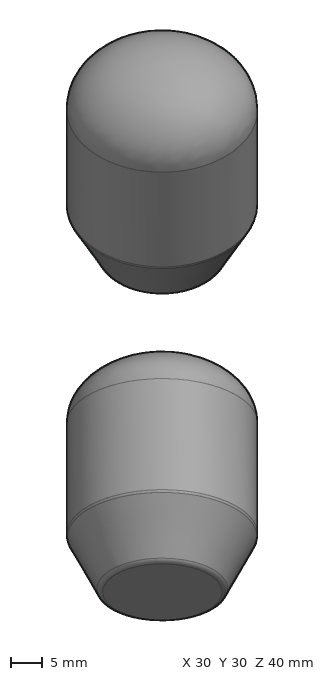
import cadquery as cq

body_diameter = 30.0
total_height = 40.0
dome_height = 10.0
taper_height = 10.0
foot_diameter = 20.0
foot_fillet = 1.0
shoulder_fillet = 1.0

body_radius = body_diameter / 2
foot_radius = foot_diameter / 2
dome_base_height = total_height - dome_height


def make_tapered_body():
    """Cylinder narrowing to the foot, with both lower edges rounded."""
    profile = (
        cq.Workplane("XZ")
        .lineTo(foot_radius, 0)
        .lineTo(body_radius, taper_height)
        .lineTo(body_radius, dome_base_height)
        .lineTo(0, dome_base_height)
        .close()
    )
    body = profile.revolve(360, (0, 0), (0, 1))
    body = body.edges("<Z").fillet(foot_fillet)
    shoulder_box = cq.selectors.BoxSelector(
        (-body_diameter, -body_diameter, taper_height - shoulder_fillet),
        (body_diameter, body_diameter, taper_height + shoulder_fillet),
    )
    return body.edges("%CIRCLE").edges(shoulder_box).fillet(shoulder_fillet)


def make_dome():
    """Half-ellipsoid cap, tangent to the cylinder at its rim."""
    profile = (
        cq.Workplane("XZ", origin=(0, 0, dome_base_height))
        .ellipseArc(body_radius, dome_height, 0, 90, startAtCurrent=False)
        .lineTo(0, 0)
        .close()
    )
    return profile.revolve(360, (0, 0), (0, 1))


result = make_tapered_body().union(make_dome())